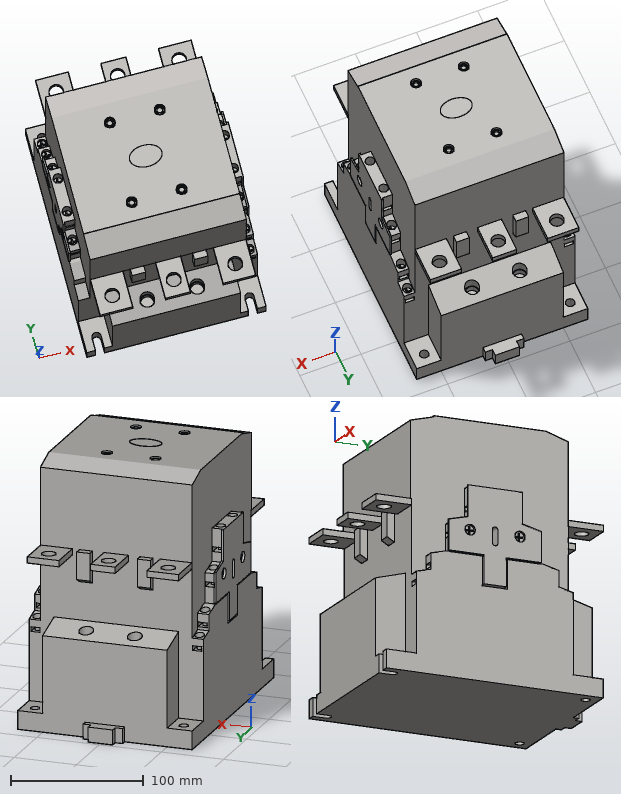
import cadquery as cq
import math


height = 208.0
base_half_width = 70.0
base_half_length = 90.0
base_height = 15.0
body_half_width = 61.0
body_half_length = 65.0
terminal_top = 140.0

hood_slope_bottom = 202.0
hood_flat_half_length = 46.5
hood_overhang = 0.9
hood_edge_step = 0.9
label_radius_x = 12.6
label_radius_y = 8.4
label_depth = 0.2

block_half_width = 50.0
block_top_inner = 84.0
block_top_outer = 77.0
block_screw_x = 19.5
block_screw_y = 77.5
block_screw_radius = 5.6
block_screw_ledge = 73.5
block_screw_lower_radius = 5.1
block_screw_floor = 68.0

terminal_thickness = 5.0
terminal_end = 94.5
outer_terminal_x = 48.0
outer_terminal_width = 25.5
middle_terminal_width = 19.6
terminal_hole_y = 82.0
terminal_hole_radius = 5.5
barrier_x = 24.3
barrier_width = 10.5
barrier_depth = 6.0
barrier_bottom = 114.5
barrier_chamfer_height = 3.5

slot_x = 59.7
slot_y = 80.0
slot_radius = 3.5
ear_height = 12.0
ear_half_width = 15.8
ear_tip_half_width = 9.9
ear_tip_end = 100.0

shoulder_top = 99.2
shoulder_top_y = 40.3
shoulder_mid_y = 53.0
shoulder_mid_upper = 96.0
shoulder_mid_lower = 83.0
shoulder_end_upper = 80.0

unit_top = 153.7
unit_bottom = 100.1
unit_head_y = 22.5
unit_head_bottom = 128.7
unit_wide_y = 38.5
unit_wide_top = 124.7
unit_overall_half_width = 70.45
unit_core_half_width = 69.0
cover_margin = 1.5
stem_half_width = 9.3
stem_bottom = 77.1
stem_slot_half_width = 10.4
stem_slot_bottom = 75.5
unit_slot_width = 4.4
unit_slot_top = 123.2
unit_slot_bottom = 108.4
unit_screw_y = 20.7
unit_screw_z = 118.4
unit_screw_radius = 4.2
unit_screw_depth = 2.0

clamp_x = 65.0
clamp_radius = 3.6
unit_clamps = [(13.2, unit_head_y, 138.7), (29.0, unit_wide_y, 116.0)]
shoulder_clamps = [(47.4, shoulder_mid_y, 89.0), (59.8, body_half_length, 74.0)]
window_height = 3.7
shank_radius = 1.85
screw_head_height = 2.0

cross_length = 6.0
cross_width = 1.0
cross_depth = 1.2

hood_screw_x = 19.5
hood_screw_y = 32.0
hood_well_radius = 4.1
hood_well_depth = 3.0
hood_head_radius = 3.2
hood_head_height = 2.0
hood_socket_radius = 2.2

ENDS = (-1, 1)


def box(x0, x1, y0, y1, z0, z1):
    """Box between two opposite corners, given in any order."""
    center = ((x0 + x1) / 2, (y0 + y1) / 2, (z0 + z1) / 2)
    return cq.Workplane("XY").box(abs(x1 - x0), abs(y1 - y0), abs(z1 - z0)).translate(center)


def prism_x(points, x0, x1):
    """Extrude a (y, z) outline from x0 to x1."""
    return cq.Workplane("YZ").polyline(points).close().extrude(x1 - x0).translate((x0, 0, 0))


def rod(x, y, z0, z1, radius):
    """Vertical cylinder."""
    return cq.Workplane("XY", origin=(x, y, z0)).circle(radius).extrude(z1 - z0)


def mirrored(right_half):
    """Complete a Y-symmetric outline from its +Y points, listed top to bottom."""
    return right_half + [(-y, z) for y, z in reversed(right_half)]


def cross(depth):
    """Cross recess centred on the origin, running down from z = 0."""
    bar = box(-cross_length / 2, cross_length / 2, -cross_width / 2, cross_width / 2, -depth, 0)
    return bar.union(bar.rotate((0, 0, 0), (0, 0, 1), 90))


def make_body():
    front = -body_half_length
    front_hood = front - hood_overhang
    profile = [
        (front, 0),
        (body_half_length, 0),
        (body_half_length, hood_slope_bottom),
        (hood_flat_half_length, height),
        (-hood_flat_half_length, height),
        (-hood_flat_half_length, height - hood_edge_step),
        (front_hood, hood_slope_bottom),
        (front_hood, terminal_top),
        (front, terminal_top),
    ]
    body = prism_x(profile, -body_half_width, body_half_width)
    base = box(-base_half_width, base_half_width, -base_half_length, base_half_length, 0, base_height)
    return body.union(base)


def make_end_block(end):
    profile = [
        (0, 0),
        (end * base_half_length, 0),
        (end * base_half_length, block_top_outer),
        (end * body_half_length, block_top_inner),
        (0, block_top_inner),
    ]
    block = prism_x(profile, -block_half_width, block_half_width)
    for side in ENDS:
        x = side * block_screw_x
        y = end * block_screw_y
        block = block.cut(rod(x, y, block_screw_ledge, block_top_inner, block_screw_radius))
        block = block.cut(rod(x, y, block_screw_floor, block_screw_ledge, block_screw_lower_radius))
    return block


def make_terminals(end):
    bars = cq.Workplane("XY")
    sizes = [(-outer_terminal_x, outer_terminal_width), (0, middle_terminal_width),
             (outer_terminal_x, outer_terminal_width)]
    bottom = terminal_top - terminal_thickness
    for x, width in sizes:
        bar = box(x - width / 2, x + width / 2, 0, end * terminal_end, bottom, terminal_top)
        bars = bars.union(bar.cut(rod(x, end * terminal_hole_y, bottom, terminal_top, terminal_hole_radius)))
    return bars


def make_barriers(end):
    tip = body_half_length + barrier_depth
    profile = [
        (0, barrier_bottom),
        (end * body_half_length, barrier_bottom),
        (end * tip, barrier_bottom + barrier_chamfer_height),
        (end * tip, terminal_top),
        (0, terminal_top),
    ]
    half = barrier_width / 2
    left = prism_x(profile, -barrier_x - half, -barrier_x + half)
    return left.union(prism_x(profile, barrier_x - half, barrier_x + half))


def make_ear():
    wide = box(-ear_half_width, ear_half_width, 0, terminal_end, 0, ear_height)
    return wide.union(box(-ear_tip_half_width, ear_tip_half_width, 0, ear_tip_end, 0, ear_height))


def make_shoulder(side):
    profile = mirrored([
        (shoulder_top_y, shoulder_top),
        (shoulder_mid_y, shoulder_mid_upper),
        (shoulder_mid_y, shoulder_mid_lower),
        (body_half_length, shoulder_end_upper),
        (body_half_length, 0),
    ])
    inner, outer = sorted((side * body_half_width, side * base_half_width))
    shoulder = prism_x(profile, inner, outer)
    stem_slot = box(inner, outer, -stem_slot_half_width, stem_slot_half_width, stem_slot_bottom, shoulder_top)
    return shoulder.cut(stem_slot)


def unit_outline(margin):
    """T-shaped contact unit outline, its flanks pulled in by the margin."""
    return mirrored([
        (unit_head_y - margin, unit_top),
        (unit_head_y - margin, unit_head_bottom - margin),
        (unit_wide_y - margin, unit_wide_top - margin),
        (unit_wide_y - margin, unit_bottom),
        (stem_half_width, unit_bottom),
        (stem_half_width, stem_bottom),
    ])


def make_unit(side):
    body_face = side * body_half_width
    core_face = side * unit_core_half_width
    outer_face = side * unit_overall_half_width
    core = prism_x(unit_outline(cover_margin), *sorted((body_face, core_face)))
    cover = prism_x(unit_outline(0), *sorted((core_face, outer_face)))
    seat = box(body_face, core_face, -unit_wide_y + cover_margin, unit_wide_y - cover_margin,
               shoulder_top, unit_bottom)
    return core.union(cover).union(seat)


def clamp_cut(x, y, face_y, window_top):
    """Screw well with cross recess above a wire window crossed by the screw shank."""
    end = math.copysign(1, y)
    head_top = window_top + screw_head_height
    window_bottom = window_top - window_height
    well = rod(x, y, head_top, unit_top, clamp_radius)
    recess = cross(cross_depth).translate((x, y, head_top))
    window = box(x - clamp_radius, x + clamp_radius, y - end * clamp_radius, end * face_y,
                 window_bottom, window_top)
    shank = rod(x, y, window_bottom, window_top, shank_radius)
    return well.union(recess).union(window.cut(shank))


def cut_clamps(part):
    tools = cq.Workplane("XY")
    for side in ENDS:
        for end in ENDS:
            clamps = list(unit_clamps)
            if side > 0 or end > 0:
                clamps += shoulder_clamps
            for y, face_y, window_top in clamps:
                tools.add(clamp_cut(side * clamp_x, end * y, face_y, window_top))
    return part.cut(tools)


def cut_unit_screws(part):
    for side in ENDS:
        for end in ENDS:
            well = rod(0, 0, -unit_screw_depth, 0, unit_screw_radius)
            recess = cross(cross_depth).translate((0, 0, -unit_screw_depth))
            tool = well.union(recess).rotate((0, 0, 0), (0, 1, 0), side * 90)
            place = (side * unit_overall_half_width, end * unit_screw_y, unit_screw_z)
            part = part.cut(tool.translate(place))
    slot_center = (unit_slot_top + unit_slot_bottom) / 2
    slot = (
        cq.Workplane("YZ", origin=(0, 0, slot_center))
        .slot2D(unit_slot_top - unit_slot_bottom, unit_slot_width, 90)
        .extrude(unit_overall_half_width, both=True)
    )
    return part.cut(slot)


def cut_hood_top(part):
    """Sink the four socket-head screws and the shallow label into the flat top."""
    well_floor = height - hood_well_depth
    head_top = well_floor + hood_head_height
    head = rod(0, 0, well_floor, head_top, hood_head_radius)
    socket = rod(0, 0, well_floor, head_top, hood_socket_radius)
    tool = rod(0, 0, well_floor, height, hood_well_radius).cut(head).union(socket)
    tools = cq.Workplane("XY")
    for side in ENDS:
        for end in ENDS:
            tools.add(tool.translate((side * hood_screw_x, end * hood_screw_y, 0)))
    label = (
        cq.Workplane("XY", origin=(0, 0, height - label_depth))
        .ellipse(label_radius_x, label_radius_y)
        .extrude(label_depth)
    )
    return part.cut(tools).cut(label)


def cut_mounting(part):
    """Round holes at the +Y corners and open slots at the -Y corners."""
    for side in ENDS:
        x = side * slot_x
        part = part.cut(rod(x, slot_y, 0, base_height, slot_radius))
        part = part.cut(rod(x, -slot_y, 0, base_height, slot_radius))
        part = part.cut(box(x - slot_radius, x + slot_radius, -base_half_length, -slot_y, 0, base_height))
    return part


part = make_body().union(make_ear())
for direction in ENDS:
    part = part.union(make_end_block(direction))
    part = part.union(make_terminals(direction))
    part = part.union(make_barriers(direction))
    part = part.union(make_shoulder(direction))
    part = part.union(make_unit(direction))
part = cut_clamps(part)
part = cut_unit_screws(part)
part = cut_hood_top(part)
result = cut_mounting(part)